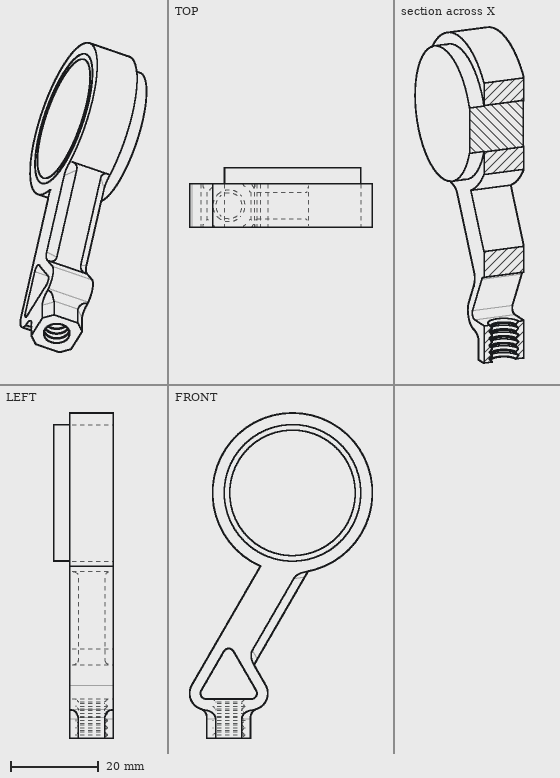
import cadquery as cq
import math

thickness = 10.05
head_radius = 18.3
bottom_z = head_radius - 74.35

insert_radius = 15.6
insert_face_radius = 14.35
insert_length = 13.7
insert_rim_step = 0.1

eye_x = -14.6
eye_floor_z = -47.1
eye_side = 10.3
eye_corner_radius = 1.3
eye_wall = 2.5
eye_outer_radius = eye_corner_radius + eye_wall
eye_corner_z = eye_floor_z + eye_corner_radius

arm_angle = 60
arm_width = thickness
edge_chamfer = 2.0
junction_fillet = 2.0

post_width = thickness
post_corner_angle = 45
bore_radius = 3.0
groove_depth = 0.7
groove_pitch = 1.6
groove_half_width = 0.7

mid_y = thickness / 2
tolerance = 0.01
arm_direction = cq.Vector(math.cos(math.radians(arm_angle)), 0, math.sin(math.radians(arm_angle)))
left_eye_corner = cq.Vector(eye_x - eye_side / 2, 0, eye_corner_z)
arm_across = cq.Vector(arm_direction.z, 0, -arm_direction.x)


def y_cylinder(radius, start, end):
    """Cylinder about the Y axis from Y = start to Y = end."""
    return cq.Workplane("XZ", origin=(0, start, 0)).circle(radius).extrude(start - end)


def rounded_triangle(corner_radius):
    """Equilateral triangle prism whose rounded corners share the eye's corner centres."""
    half_side = eye_side / 2
    height = eye_side * math.sin(math.pi / 3)
    corners = [(-half_side, 0), (half_side, 0), (0, height)]
    core = cq.Workplane("XZ", origin=(eye_x, 0, eye_corner_z)).polyline(corners).close()
    return core.offset2D(corner_radius).extrude(-thickness)


def make_arm():
    """Bar from the eye to the head centre, with its two right-hand long edges chamfered."""
    start = left_eye_corner - arm_across * eye_outer_radius + arm_direction * (eye_side / 2)
    length = (cq.Vector(0, 0, 0) - start).dot(arm_direction)
    section = cq.Workplane(cq.Plane(origin=start.toTuple(), xDir=arm_across.toTuple(),
                                    normal=arm_direction.toTuple()))
    outline = [
        (0, 0),
        (arm_width - edge_chamfer, 0),
        (arm_width, edge_chamfer),
        (arm_width, thickness - edge_chamfer),
        (arm_width - edge_chamfer, thickness),
        (0, thickness),
    ]
    return section.polyline(outline).close().extrude(length)


def make_post():
    """Square post whose left and right sides sweep into the rounded corners of the eye."""
    half_width = post_width / 2
    corner_x = eye_side / 2
    sweep_x = half_width + junction_fillet
    reach = eye_outer_radius + junction_fillet
    sweep_z = eye_corner_z - math.sqrt(reach**2 - (sweep_x - corner_x)**2)
    touch_share = eye_outer_radius / reach
    touch_x = corner_x + (sweep_x - corner_x) * touch_share
    touch_z = eye_corner_z + (sweep_z - eye_corner_z) * touch_share
    to_touch = math.atan2(touch_z - sweep_z, touch_x - sweep_x)
    middle_angle = (math.pi + to_touch) / 2
    middle_x = sweep_x + junction_fillet * math.cos(middle_angle)
    middle_z = sweep_z + junction_fillet * math.sin(middle_angle)
    return (
        cq.Workplane("XZ", origin=(eye_x, 0, 0))
        .moveTo(-half_width, bottom_z)
        .lineTo(half_width, bottom_z)
        .lineTo(half_width, sweep_z)
        .threePointArc((middle_x, middle_z), (touch_x, touch_z))
        .lineTo(corner_x, eye_corner_z)
        .lineTo(-corner_x, eye_corner_z)
        .lineTo(-touch_x, touch_z)
        .threePointArc((-middle_x, middle_z), (-half_width, sweep_z))
        .close()
        .extrude(-thickness)
    )


def make_post_chamfer(angle):
    """Cutter for one long edge of the post; its upper inner corner is rounded."""
    face_distance = (post_width - edge_chamfer) / math.sqrt(2)
    height = eye_corner_z - eye_outer_radius - bottom_z
    cutter = (
        cq.Workplane("XY")
        .box(post_width, 2 * post_width, height, centered=(False, True, False))
        .edges("<X and >Z")
        .fillet(junction_fillet)
        .translate((face_distance, 0, 0))
    )
    return cutter.rotate((0, 0, 0), (0, 0, 1), angle).translate((eye_x, mid_y, bottom_z))


def make_bore():
    """Bore from the post's foot to the eye floor, with V-shaped ring grooves in place of a helical thread."""
    depth = eye_floor_z - bottom_z
    bore = cq.Workplane("XY", origin=(eye_x, mid_y, bottom_z)).circle(bore_radius).extrude(depth)
    for ring in range(1 + int(depth / groove_pitch)):
        groove_z = eye_floor_z - ring * groove_pitch
        lower = cq.Solid.makeCone(bore_radius, bore_radius + groove_depth, groove_half_width,
                                  cq.Vector(eye_x, mid_y, groove_z - groove_half_width))
        upper = cq.Solid.makeCone(bore_radius + groove_depth, bore_radius, groove_half_width,
                                  cq.Vector(eye_x, mid_y, groove_z))
        bore = bore.union(cq.Workplane(lower)).union(cq.Workplane(upper))
    bore_limit = cq.Workplane("XY", origin=(eye_x, mid_y, bottom_z)).rect(post_width, thickness)
    return bore.intersect(bore_limit.extrude(depth))


def is_arm_chamfer_end(edge):
    """Edges where an arm chamfer runs into the head or the eye."""

    def on_chamfer(point):
        across = (point - left_eye_corner).dot(arm_across) + eye_outer_radius
        depth = min(point.y, thickness - point.y)
        on_plane = abs(across - depth - (arm_width - edge_chamfer)) < tolerance
        return on_plane and depth < edge_chamfer + tolerance

    ends = [edge.startPoint(), edge.endPoint()]
    depth_span = abs(ends[0].y - ends[1].y)
    return abs(depth_span - edge_chamfer) < tolerance and all(on_chamfer(point) for point in ends)


def make_handle():
    eye_body = rounded_triangle(eye_outer_radius).union(make_post())
    for corner in range(4):
        eye_body = eye_body.cut(make_post_chamfer(post_corner_angle + 90 * corner))
    handle = eye_body.union(make_arm()).union(y_cylinder(head_radius, 0, thickness))
    chamfer_ends = [edge for edge in handle.edges().vals() if is_arm_chamfer_end(edge)]
    handle = handle.newObject(chamfer_ends).fillet(junction_fillet)
    handle = handle.cut(rounded_triangle(eye_corner_radius)).cut(make_bore())
    return handle.cut(y_cylinder(insert_radius, 0, thickness))


def make_insert():
    """Plain cylinder with a slightly stepped-back rim around its front face."""
    body = y_cylinder(insert_radius, insert_rim_step, insert_length)
    return body.union(y_cylinder(insert_face_radius, 0, insert_length))


handle = make_handle()
insert = make_insert()
result = cq.Compound.makeCompound([handle.val(), insert.val()])